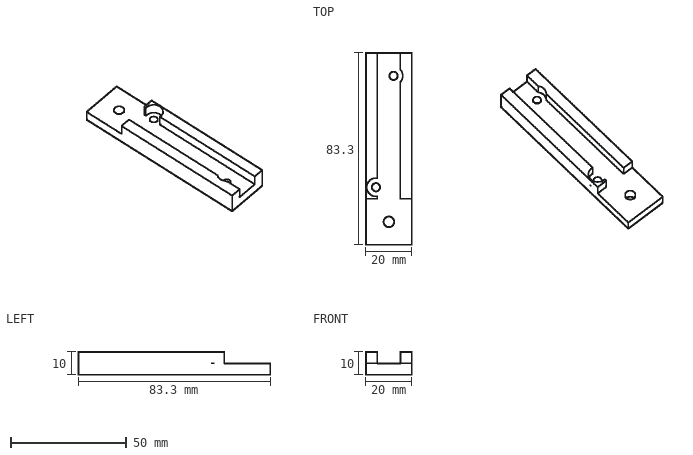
import cadquery as cq

width = 20.0
plate_thickness = 5.0
rail_height = 5.0
rail_width = 5.0

screw_spacing_x = 7.62
screw_spacing_y = 48.26
screw_hole_diameter = 3.5
screw_head_radius = 4.0
back_screw_offset_x = 2.0
back_screw_margin = 10.0
front_screw_margin = 5.0

tongue_length = 20.0
mount_hole_diameter = 4.5

rail_length = front_screw_margin + screw_spacing_y + back_screw_margin
length = tongue_length + rail_length

back_screw = (back_screw_offset_x, length - back_screw_margin)
front_screw = (back_screw[0] - screw_spacing_x, back_screw[1] - screw_spacing_y)
screws = [front_screw, back_screw]
mount_hole = (0, tongue_length / 2)


def make_plate():
    """Flat base running the full length."""
    return cq.Workplane("XY").box(width, length, plate_thickness, centered=(True, False, False))


def make_rail(side):
    """Straight rail along one long edge; side is -1 or +1 along X."""
    return (
        cq.Workplane("XY", origin=(side * (width - rail_width) / 2, tongue_length, plate_thickness))
        .box(rail_width, rail_length, rail_height, centered=(True, False, False))
    )


def make_head_reliefs():
    """Cylinders that clear the screw heads out of the rails, down to the plate."""
    return (
        cq.Workplane("XY", origin=(0, 0, plate_thickness))
        .pushPoints(screws)
        .circle(screw_head_radius)
        .extrude(rail_height)
    )


def make_through_holes(centers, diameter):
    """Cylinders that pierce the plate."""
    return cq.Workplane("XY").pushPoints(centers).circle(diameter / 2).extrude(plate_thickness)


result = make_plate()
for side in (-1, 1):
    result = result.union(make_rail(side))
result = (
    result
    .cut(make_head_reliefs())
    .cut(make_through_holes(screws, screw_hole_diameter))
    .cut(make_through_holes([mount_hole], mount_hole_diameter))
)